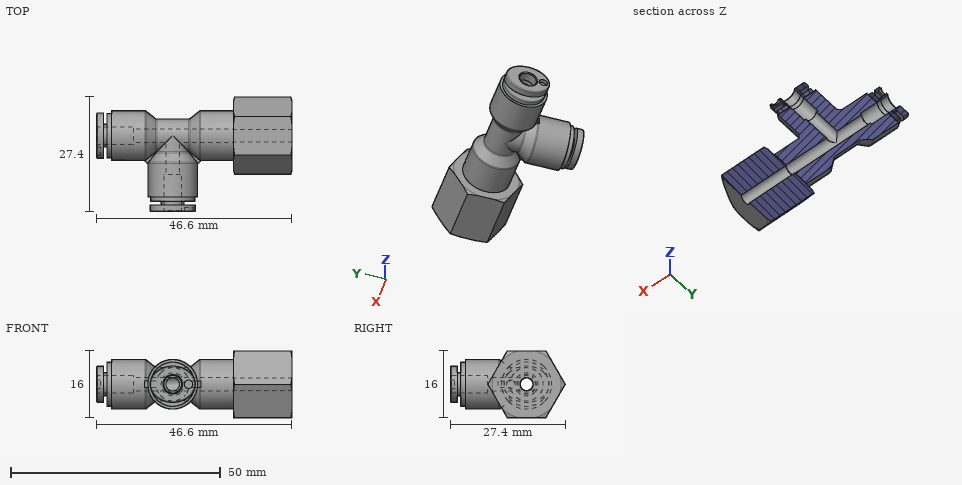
import cadquery as cq
import math


TOTAL_LENGTH = 46.6
PORT_REACH = 18.15
SLEEVE_DIAMETER = 11.9
NECK_DIAMETER = 7.9
NECK_END = 3.95
SHOULDER_START = 6.5
SLEEVE_END = 14.6
CONE_BLEND = 0.45
BORE_DIAMETER = 3.2
SOCKET_FLOOR = 9.3
RIB_HEIGHT = 1.6
RIB_TIP = 6.75

RING_DIAMETER = 10.6
RING_FACE = 15.7
RING_EDGE_FILLET = 0.1

STEM_DIAMETER = 5.5
TUBE_DIAMETER = 4.2
HEAD_WIDTH = 10.8
HEAD_HEIGHT = 8.65
HEAD_THICKNESS = 1.65
HEAD_EDGE_FILLET = 0.25
MOUTH_CHAMFER = 0.25
DIMPLE_DIAMETER = 2.0
DIMPLE_OFFSET = 3.77
DIMPLE_DEPTH = 0.95

NUT_SIDES = 6
HALF_SECTOR_ANGLE = 180 / NUT_SIDES
NUT_FLATS = 16.0
NUT_START = 14.45
NUT_END = TOTAL_LENGTH - PORT_REACH
NUT_BORE = 3.0
NUT_FACE_DIAMETER = 16.4
NUT_CHAMFER_ANGLE = 17.0


def arm_frame(start):
    """Workplane across the run at X = -start, facing -X, with its local X along -Y."""
    return cq.Workplane(cq.Plane((-start, 0, 0), xDir=(0, -1, 0), normal=(-1, 0, 0)))


def as_branch(shape):
    """Turn a shape of the -X arm onto the branch toward -Y."""
    return shape.rotate((0, 0, 0), (0, 0, 1), 90)


def arm(end):
    """Neck, cone and sleeve of one arm along -X, with both cone ends blended."""
    neck_radius = NECK_DIAMETER / 2
    sleeve_radius = SLEEVE_DIAMETER / 2
    outline = [
        (0, 0),
        (-end, 0),
        (-end, sleeve_radius),
        (-SHOULDER_START, sleeve_radius),
        (-NECK_END, neck_radius),
        (0, neck_radius),
    ]
    solid = cq.Workplane("XY").polyline(outline).close().revolve(360, (0, 0, 0), (1, 0, 0))
    cone_box = cq.selectors.BoxSelector(
        (-(SHOULDER_START + end) / 2, -sleeve_radius, -sleeve_radius),
        (-NECK_END / 2, sleeve_radius, sleeve_radius),
    )
    return solid.edges("%CIRCLE").edges(cone_box).fillet(CONE_BLEND)


def make_body():
    """Tee with a plain end at the nut, two tube sockets and one continuous run bore."""
    left = arm(SLEEVE_END)
    right = arm(NUT_START).rotate((0, 0, 0), (0, 0, 1), 180)
    branch = as_branch(arm(SLEEVE_END))
    body = left.union(right).union(branch)

    edge = SLEEVE_DIAMETER / 2
    rib_outline = [
        (-RIB_TIP, 0),
        (-RIB_TIP, -edge),
        (-edge, -RIB_TIP),
        (edge, -RIB_TIP),
        (RIB_TIP, -edge),
        (RIB_TIP, 0),
    ]
    ribs = cq.Workplane("XY").polyline(rib_outline).close().extrude(RIB_HEIGHT / 2, both=True)
    body = body.union(ribs)

    run_bore = arm_frame(-NUT_START).circle(BORE_DIAMETER / 2).extrude(NUT_START + SLEEVE_END)
    branch_bore = as_branch(arm_frame(0).circle(BORE_DIAMETER / 2).extrude(SLEEVE_END))
    socket = arm_frame(SOCKET_FLOOR).circle(TUBE_DIAMETER / 2).extrude(SLEEVE_END - SOCKET_FLOOR)
    return body.cut(run_bore).cut(branch_bore).cut(socket).cut(as_branch(socket))


def make_ring():
    """Guide ring on the end face of the left sleeve."""
    ring = arm_frame(SLEEVE_END).circle(RING_DIAMETER / 2).extrude(RING_FACE - SLEEVE_END)
    ring = ring.faces("<X").edges().fillet(RING_EDGE_FILLET)
    hole = arm_frame(SLEEVE_END).circle(TUBE_DIAMETER / 2).extrude(RING_FACE - SLEEVE_END)
    return ring.cut(hole)


def make_button():
    """Oval-headed release button whose stem rests on the left guide ring."""
    head_back = PORT_REACH - HEAD_THICKNESS
    head = arm_frame(head_back).ellipse(HEAD_WIDTH / 2, HEAD_HEIGHT / 2).extrude(HEAD_THICKNESS)
    head = head.faces("<X").edges().fillet(HEAD_EDGE_FILLET)
    stem = arm_frame(RING_FACE).circle(STEM_DIAMETER / 2).extrude(head_back - RING_FACE)
    tube_hole = arm_frame(RING_FACE).circle(TUBE_DIAMETER / 2).extrude(PORT_REACH - RING_FACE)
    button = head.union(stem).cut(tube_hole)
    button = button.faces("<X").edges("%CIRCLE").chamfer(MOUTH_CHAMFER)
    dimple = (
        arm_frame(PORT_REACH - DIMPLE_DEPTH)
        .center(DIMPLE_OFFSET, 0)
        .circle(DIMPLE_DIAMETER / 2)
        .extrude(DIMPLE_DEPTH)
    )
    return button.cut(dimple)


def make_nut():
    """Hexagonal end with a through bore and trimmed corners."""
    corners = NUT_FLATS / math.cos(math.radians(HALF_SECTOR_ANGLE))
    length = NUT_END - NUT_START
    prism = cq.Workplane("YZ", origin=(NUT_START, 0, 0)).polygon(NUT_SIDES, corners).extrude(length)
    face_radius = NUT_FACE_DIAMETER / 2
    chamfer = (corners / 2 - face_radius) * math.tan(math.radians(NUT_CHAMFER_ANGLE))
    blank_outline = [
        (NUT_START, 0),
        (NUT_START, face_radius),
        (NUT_START + chamfer, corners / 2),
        (NUT_END - chamfer, corners / 2),
        (NUT_END, face_radius),
        (NUT_END, 0),
    ]
    blank = cq.Workplane("XY").polyline(blank_outline).close().revolve(360, (0, 0, 0), (1, 0, 0))
    bore = cq.Workplane("YZ", origin=(NUT_START, 0, 0)).circle(NUT_BORE / 2).extrude(length)
    return prism.intersect(blank).cut(bore)


body = make_body()
nut = make_nut()

port_parts = []
for left_part in (make_ring(), make_button()):
    port_parts += [left_part.val(), as_branch(left_part).val()]

result = cq.Compound.makeCompound([body.val(), nut.val(), *port_parts])